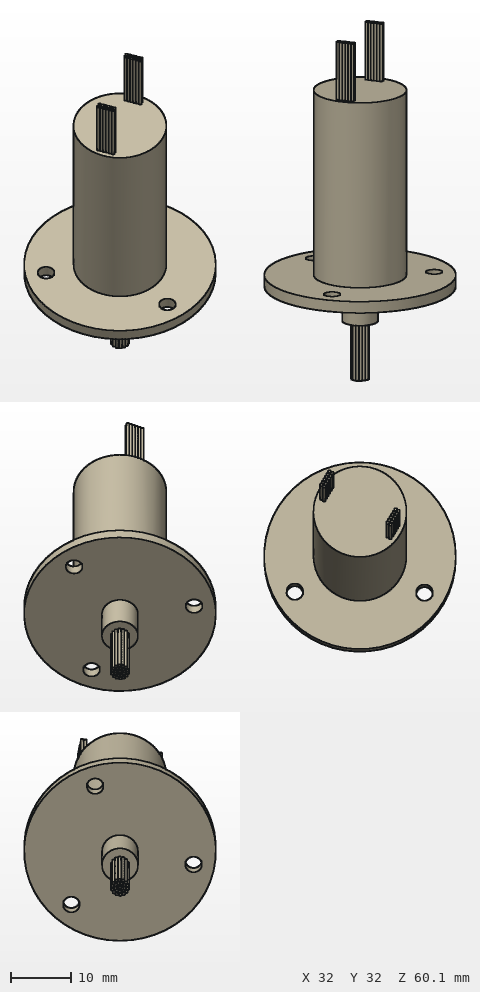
import cadquery as cq
import math

flange_diameter = 32.0
flange_thickness = 2.0
screw_hole_diameter = 2.75
screw_circle_diameter = 24.95
screw_hole_count = 3

body_diameter = 15.5
body_height = 32.1
hub_diameter = 6.0
hub_height = 6.0

overall_height = 60.1
wire_diameter = 0.51
wire_pitch = 0.52
wire_root_depth = 0.6
upper_wire_length = 10.0
fixed_height = hub_height + flange_thickness + body_height + upper_wire_length
lower_wire_length = overall_height - fixed_height

ribbon_columns = 6
ribbon_rows = 2
ribbon_spacing = 12.8

cable_rings = [
    (14, 2.5 * wire_pitch),
    (9, 1.5 * wire_pitch),
    (1, 0),
]

body_top = flange_thickness + body_height


def cylinder(diameter, bottom, height):
    """Upright cylinder on the central axis."""
    return cq.Workplane("XY").workplane(offset=bottom).circle(diameter / 2).extrude(height)


def flange():
    """Round plate with equally spaced screw holes, the first on +Y."""
    holes = (
        cq.Workplane("XY")
        .polarArray(screw_circle_diameter / 2, 90, 360, screw_hole_count)
        .circle(screw_hole_diameter / 2)
        .extrude(flange_thickness)
    )
    return cylinder(flange_diameter, 0, flange_thickness).cut(holes)


def wire_bundle(centers, bottom, length):
    """Parallel upright wires at the given XY centers."""
    plane = cq.Workplane("XY").workplane(offset=bottom)
    return plane.pushPoints(centers).circle(wire_diameter / 2).extrude(length)


def upper_wires():
    """Two flat ribbons standing on the housing, one toward +Y and one toward -Y."""
    centers = [
        (
            (column - (ribbon_columns - 1) / 2) * wire_pitch,
            side * ribbon_spacing / 2 + (row - (ribbon_rows - 1) / 2) * wire_pitch,
        )
        for side in (-1, 1)
        for row in range(ribbon_rows)
        for column in range(ribbon_columns)
    ]
    return wire_bundle(centers, body_top - wire_root_depth, wire_root_depth + upper_wire_length)


def lower_wires():
    """Round cable hanging from the hub, the first wire of each ring on +Y."""
    centers = []
    for count, radius in cable_rings:
        for index in range(count):
            angle = math.pi / 2 + 2 * math.pi * index / count
            centers.append((radius * math.cos(angle), radius * math.sin(angle)))
    bottom = -hub_height - lower_wire_length
    return wire_bundle(centers, bottom, lower_wire_length + wire_root_depth)


body = cylinder(body_diameter, flange_thickness, body_height)
hub = cylinder(hub_diameter, -hub_height, hub_height)
result = flange().union(body).union(hub).union(upper_wires()).union(lower_wires())